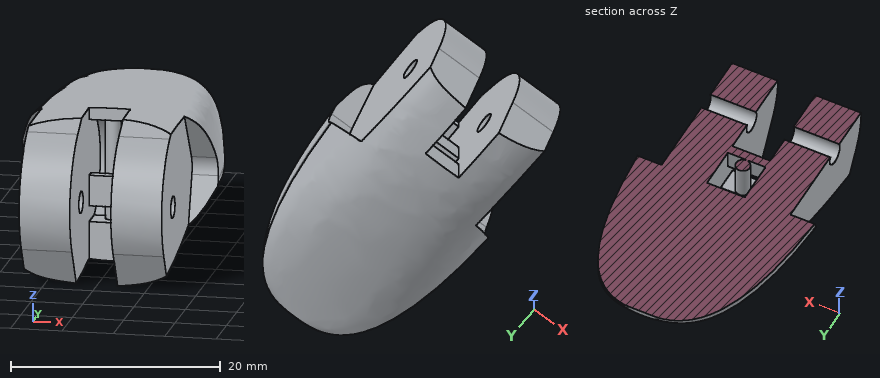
import cadquery as cq
import math


tip_y = 26.73
nose_y = 26.78
root_y = -7.0
max_half_width = 9.70
plan_exponent = 2.8
crown_z = 8.50
crown_y = 14.0
crown_exponent = 2.55
crown_slope = 0.026
rim_top_root_z = 0.30
rim_top_tip_z = 0.85
rim_bottom_z = -0.20
rim_tip_rise = 0.45
rim_rise_power = 8
belly_z = -7.31
belly_root_slope = 0.09
belly_tip_slope = 0.24
station_count = 9
curve_steps = 4

back_lean = 0.03
back_rise = 0.735
back_reach = 0.95
back_reach_tip = 0.76
back_reach_root = 1.05
belly_inset = 0.22
belly_inset_root = 0.06
belly_drop = 0.72
belly_drop_root = 0.81
belly_reach = 0.50
belly_reach_root = 0.61
fullness_start_y = 9.0
fullness_end_y = -3.0

knuckle_width = 13.88
knuckle_radius = 7.95
knuckle_y = 2.45
knuckle_z = 0.25
stop_angle = 30.0
hinge_hole_diameter = 2.1

shoulder_y = 9.62
shoulder_z = 1.78
upper_shoulder_angle = 35.0
lower_shoulder_angle = 20.0
shoulder_radius = 2.0

slot_width = 4.0
slot_end_y = 3.93
cavity_top_z = 7.15
cavity_bottom_z = -2.95
cavity_depth = 5.5
bar_top_z = 1.63
bar_bottom_z = -1.39
bar_thickness = 1.0
post_diameter = 1.5
post_y = slot_end_y + bar_thickness + post_diameter / 2

clearance = 40.0


def superellipse(fraction, power):
    return (1 - fraction ** power) ** (1 / power)


def blend(start, end, fraction):
    return start + (end - start) * fraction


def half_width(y):
    return max_half_width * superellipse(max(y, 0) / nose_y, plan_exponent)


def rim_top(y):
    return blend(rim_top_root_z, rim_top_tip_z, max(y, 0) / nose_y)


def rim_bottom(y):
    return rim_bottom_z + rim_tip_rise * (max(y, 0) / nose_y) ** rim_rise_power


def back_height(y):
    if y < crown_y:
        return crown_z - crown_slope * (crown_y - y) ** 2 / (crown_y - root_y)
    fraction = (y - crown_y) / (nose_y - crown_y)
    rim = rim_top(y)
    return rim + (crown_z - rim) * superellipse(fraction, crown_exponent)


def belly_height(y):
    """Straight on the root side of the hinge axis, then a cubic rising to z = 0 at the nose."""
    if y < 0:
        return belly_z + belly_root_slope * y
    t = y / nose_y
    first = belly_z + belly_root_slope * nose_y / 3
    second = -belly_tip_slope * nose_y / 3
    return belly_z * (1 - t) ** 3 + 3 * first * t * (1 - t) ** 2 + 3 * second * t ** 2 * (1 - t)


def bezier_point(points, t):
    weights = [(1 - t) ** 3, 3 * t * (1 - t) ** 2, 3 * t ** 2 * (1 - t), t ** 3]
    x = sum(weight * point[0] for weight, point in zip(weights, points))
    z = sum(weight * point[1] for weight, point in zip(weights, points))
    return x, z


def symmetric_curve(half_points, y):
    """Smooth curve through a cubic from the rim to the middle plane and its mirror image."""
    half = [bezier_point(half_points, i / curve_steps) for i in range(curve_steps + 1)]
    whole = half + [(-x, z) for x, z in reversed(half[:-1])]
    run = half_points[1][0] - half_points[0][0]
    rise = half_points[1][1] - half_points[0][1]
    tangents = [cq.Vector(run, 0, rise), cq.Vector(run, 0, -rise)]
    return cq.Edge.makeSpline([cq.Vector(x, y, z) for x, z in whole], tangents=tangents)


def section(y):
    """Closed cross section: arched back, upright band at the rim, rounded belly."""
    width = half_width(y)
    upper, lower = rim_top(y), rim_bottom(y)
    top, bottom = back_height(y), belly_height(y)
    fullness = (fullness_start_y - y) / (fullness_start_y - fullness_end_y)
    fullness = min(max(fullness, 0), 1)
    inset = blend(belly_inset, belly_inset_root, fullness)
    drop = blend(belly_drop, belly_drop_root, fullness)
    tip_reach = blend(back_reach, back_reach_tip, max(y, 0) / nose_y)
    back_extent = blend(tip_reach, back_reach_root, fullness)
    reach = blend(belly_reach, belly_reach_root, fullness)

    back = [
        (width, upper),
        (width * (1 - back_lean), blend(upper, top, back_rise)),
        (width * back_extent, top),
        (0, top),
    ]
    belly = [
        (width, lower),
        (width * (1 - inset), blend(lower, bottom, drop)),
        (width * reach, bottom),
        (0, bottom),
    ]

    def band(side):
        return cq.Edge.makeLine(cq.Vector(side * width, y, lower), cq.Vector(side * width, y, upper))

    edges = [symmetric_curve(back, y), band(1), symmetric_curve(belly, y), band(-1)]
    return cq.Wire.assembleEdges(edges)


def make_body():
    last_angle = math.asin(tip_y / nose_y)
    stations = [root_y, root_y / 2]
    stations += [nose_y * math.sin(last_angle * i / station_count) for i in range(station_count + 1)]
    return cq.Workplane(cq.Solid.makeLoft([section(y) for y in stations]))


def side_prism(sketch, width):
    return sketch.extrude(width / 2, both=True)


def make_knuckle_envelope():
    """Round knuckle end with a tangent stop face above and below, open towards the tip."""
    angle = math.radians(stop_angle)
    sine, cosine = math.sin(angle), math.cos(angle)
    top = (knuckle_y - knuckle_radius * sine, knuckle_z + knuckle_radius * cosine)
    bottom = (knuckle_y - knuckle_radius * cosine, knuckle_z - knuckle_radius * sine)
    end = (knuckle_y - knuckle_radius, knuckle_z)
    sketch = (
        cq.Workplane("YZ")
        .moveTo(top[0] + clearance * cosine, top[1] + clearance * sine)
        .lineTo(*top)
        .threePointArc(end, bottom)
        .lineTo(bottom[0] + clearance * sine, bottom[1] - clearance * cosine)
        .lineTo(clearance, bottom[1] - clearance * cosine)
        .close()
    )
    return side_prism(sketch, clearance)


def make_shoulder_cut():
    """Material to clear on both sides of the knuckle."""
    upper = shoulder_y - clearance * math.tan(math.radians(upper_shoulder_angle))
    lower = shoulder_y - clearance * math.tan(math.radians(lower_shoulder_angle))
    sketch = cq.Workplane("YZ").polyline([
        (shoulder_y, shoulder_z),
        (upper, shoulder_z + clearance),
        (-clearance, shoulder_z + clearance),
        (-clearance, shoulder_z - clearance),
        (lower, shoulder_z - clearance),
    ]).close()
    cut = side_prism(sketch, clearance).edges("|X and >Y").fillet(shoulder_radius)
    core = cq.Workplane("XY").box(knuckle_width, 3 * clearance, 3 * clearance)
    return cut.cut(core)


def make_slot():
    slot = cq.Workplane("XY").box(slot_width, clearance, clearance)
    return slot.translate((0, slot_end_y - clearance / 2, 0))


def make_cord_cavity():
    """Curved cavity behind the slot, with a crossbar at its mouth and an upright post."""
    middle_z = (cavity_top_z + cavity_bottom_z) / 2
    height = cavity_top_z - cavity_bottom_z
    curve_y = post_y + post_diameter / 2
    sketch = (
        cq.Workplane("YZ")
        .moveTo(slot_end_y, cavity_bottom_z)
        .lineTo(curve_y, cavity_bottom_z)
        .threePointArc((slot_end_y + cavity_depth, middle_z), (curve_y, cavity_top_z))
        .lineTo(slot_end_y, cavity_top_z)
        .close()
    )
    cavity = side_prism(sketch, slot_width)
    bar_height = bar_top_z - bar_bottom_z
    bar = cq.Workplane("XY").box(slot_width, bar_thickness, bar_height)
    bar = bar.translate((0, slot_end_y + bar_thickness / 2, (bar_top_z + bar_bottom_z) / 2))
    post = cq.Workplane("XY", origin=(0, post_y, middle_z)).circle(post_diameter / 2)
    post = post.extrude(height / 2, both=True)
    return cavity.cut(bar).cut(post)


def make_hinge_hole():
    return side_prism(cq.Workplane("YZ").circle(hinge_hole_diameter / 2), clearance)


result = (
    make_body()
    .intersect(make_knuckle_envelope())
    .cut(make_shoulder_cut())
    .cut(make_slot())
    .cut(make_cord_cavity())
    .cut(make_hinge_hole())
)